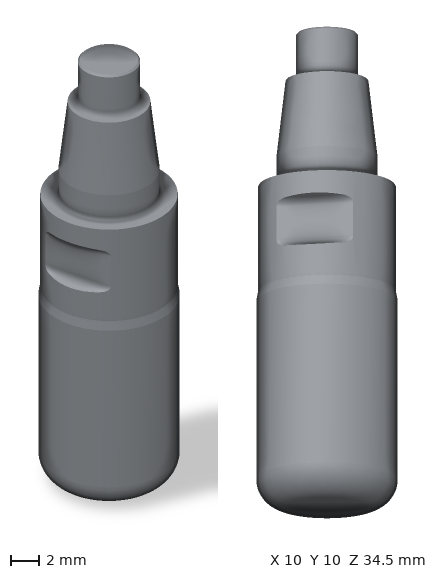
import cadquery as cq
import math

total_height = 34.5
sleeve_radius = 5.0
sleeve_bottom_round = 2.05
sleeve_height = 15.75
sleeve_bevel_height = 0.72

collar_radius = 4.85
collar_top = 23.35
flat_distance = 4.0
flat_height = 2.5
flat_center = 19.87
flat_corner_round = 0.52
ledge_angle = math.radians(15)

stem_radius = 3.6
stem_foot_round = 0.28
taper_bottom = 25.43
taper_top_radius = 2.93
taper_top = 31.05
pin_radius = 2.2
pin_foot_round = 0.5
pin_chamfer = 0.15


def add_foot_round(profile, radius, floor_z, size):
    """Draw a concave quarter round from a floor up to a shaft of the given radius."""
    diagonal_offset = size * (1 - math.sqrt(0.5))
    return (
        profile.lineTo(radius + size, floor_z)
        .threePointArc(
            (radius + diagonal_offset, floor_z + diagonal_offset),
            (radius, floor_z + size),
        )
    )


def make_sleeve():
    """Round-bottomed solid sleeve, bevelled at the top down to the collar radius."""
    body = cq.Workplane("XY").circle(sleeve_radius).extrude(sleeve_height)
    body = body.faces("<Z").edges().fillet(sleeve_bottom_round)
    bevel_width = sleeve_radius - collar_radius
    return body.faces(">Z").edges().chamfer(sleeve_bevel_height, bevel_width)


def make_flat_cutter():
    """Flared bar that cuts one wrench flat on the +Y side, its inner corners rounded."""
    depth = sleeve_radius - flat_distance
    corner_setback = flat_corner_round * math.tan((math.pi / 2 - ledge_angle) / 2)
    inner_half_height = flat_height / 2 + corner_setback
    outer_half_height = inner_half_height + depth * math.tan(ledge_angle)
    bar = (
        cq.Workplane("YZ", origin=(0, 0, flat_center))
        .moveTo(flat_distance, -inner_half_height)
        .lineTo(sleeve_radius, -outer_half_height)
        .lineTo(sleeve_radius, outer_half_height)
        .lineTo(flat_distance, inner_half_height)
        .close()
        .extrude(sleeve_radius, both=True)
    )
    return bar.faces("<Y").edges("|X").fillet(flat_corner_round)


def make_spindle():
    """Turned collar, tapered stem and pin in one piece, standing on the sleeve."""
    profile = (
        cq.Workplane("XZ")
        .moveTo(0, sleeve_height)
        .lineTo(collar_radius, sleeve_height)
        .lineTo(collar_radius, collar_top)
    )
    profile = add_foot_round(profile, stem_radius, collar_top, stem_foot_round)
    profile = profile.lineTo(stem_radius, taper_bottom).lineTo(taper_top_radius, taper_top)
    profile = add_foot_round(profile, pin_radius, taper_top, pin_foot_round)
    profile = (
        profile.lineTo(pin_radius, total_height - pin_chamfer)
        .lineTo(pin_radius - pin_chamfer, total_height)
        .lineTo(0, total_height)
        .close()
    )
    body = profile.revolve(360, (0, 0, 0), (0, 1, 0))

    cutter = make_flat_cutter()
    for angle in (0, 180):
        body = body.cut(cutter.rotate((0, 0, 0), (0, 0, 1), angle))
    return body


sleeve = make_sleeve()
spindle = make_spindle()
result = cq.Compound.makeCompound([sleeve.val(), spindle.val()])